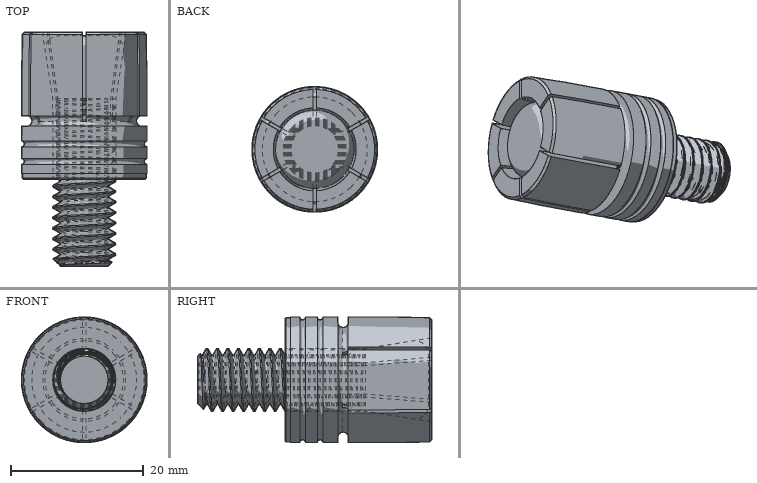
import cadquery as cq
import math


sleeve_radius = 9.525
sleeve_length = 22.25
relief = 0.1
top_chamfer = 0.35
taper_length = 5.8
base_land = 0.85
base_chamfer = 0.2
neck_radius = 0.78
neck_depth = 1.6
neck_y = 8.83
ring_radius = 0.43
ring_ys = (2.7, 5.35)
slot_count = 6
slot_width = 0.53
slot_end = 8.72

thread_radius = 4.768
thread_pitch = 1.588
thread_flat = thread_pitch / 8
thread_depth = (thread_pitch / 2 - thread_flat) / math.tan(math.radians(30))
root_radius = thread_radius - thread_depth
crest_angle = -50
flank_points = 6
stud_length = 13.2
tip_radius = 3.58
head_bottom = 12.2
head_gap = 0.53
head_angle = 9
head_round = 2.05

tip_y = -stud_length
head_top = sleeve_length - head_gap
head_height = head_top - head_bottom
head_top_radius = thread_radius + head_height * math.tan(math.radians(head_angle))


def revolve(profile):
    return profile.close().revolve(360, (0, 0, 0), (0, 1, 0))


def half_round(profile, y, radius, rim):
    """Go up across a half-round groove that opens at the radius `rim`, as two quarter arcs."""
    bend = radius * math.sqrt(0.5)
    return (
        profile.lineTo(rim, y - radius)
        .threePointArc((rim - bend, y - bend), (rim - radius, y))
        .threePointArc((rim - bend, y + bend), (rim, y + radius))
    )


def head_cone():
    return revolve(
        cq.Workplane("XY")
        .moveTo(0, head_bottom)
        .lineTo(thread_radius, head_bottom)
        .lineTo(head_top_radius, head_top)
        .lineTo(0, head_top)
    )


def thread_section():
    """Cross-section of the thread: a crest arc and a root arc, joined by two spirals."""
    flat_turn = 360 * thread_flat / thread_pitch
    flank_turn = 180 - flat_turn

    def at(radius, angle):
        turn = math.radians(angle)
        return (radius * math.cos(turn), radius * math.sin(turn))

    def flank(start_radius, end_radius, start_angle):
        steps = range(1, flank_points + 1)
        return [
            at(
                start_radius + (end_radius - start_radius) * i / flank_points,
                start_angle + flank_turn * i / flank_points,
            )
            for i in steps
        ]

    crest_start = crest_angle - flat_turn / 2
    crest_end = crest_angle + flat_turn / 2
    root_start = crest_end + flank_turn
    root_end = root_start + flat_turn
    return (
        cq.Workplane("XY")
        .moveTo(*at(thread_radius, crest_start))
        .threePointArc(at(thread_radius, crest_angle), at(thread_radius, crest_end))
        .spline(flank(thread_radius, root_radius, crest_end), includeCurrent=True)
        .threePointArc(at(root_radius, crest_angle + 180), at(root_radius, root_end))
        .spline(flank(root_radius, thread_radius, root_end), includeCurrent=True)
        .close()
    )


def threaded_rod():
    length = head_bottom - tip_y
    rod = thread_section().twistExtrude(length, 360 * length / thread_pitch)
    return rod.rotate((0, 0, 0), (1, 0, 0), -90).translate((0, tip_y, 0))


def tip_envelope():
    """Chamfered blank, wider than the thread, that bevels the thread at the tip."""
    blank_radius = thread_radius + 0.35
    return revolve(
        cq.Workplane("XY")
        .moveTo(0, tip_y)
        .lineTo(tip_radius, tip_y)
        .lineTo(blank_radius, tip_y + blank_radius - tip_radius)
        .lineTo(blank_radius, head_bottom)
        .lineTo(0, head_bottom)
    )


def make_screw():
    head = head_cone().faces(">Y").edges().fillet(head_round)
    return threaded_rod().intersect(tip_envelope()).union(head)


def sleeve_blank():
    end_radius = sleeve_radius - relief
    profile = (
        cq.Workplane("XY")
        .moveTo(0, 0)
        .lineTo(end_radius - base_chamfer, 0)
        .lineTo(end_radius, base_chamfer)
        .lineTo(end_radius, base_land)
        .lineTo(sleeve_radius, base_land)
    )
    for y in ring_ys:
        profile = half_round(profile, y, ring_radius, sleeve_radius)
    profile = profile.lineTo(sleeve_radius, neck_y - neck_radius)
    profile = half_round(profile, neck_y, neck_radius, sleeve_radius - neck_depth + neck_radius)
    return revolve(
        profile.lineTo(sleeve_radius, neck_y + neck_radius)
        .lineTo(sleeve_radius, sleeve_length - taper_length)
        .lineTo(end_radius, sleeve_length - top_chamfer)
        .lineTo(end_radius - top_chamfer, sleeve_length)
        .lineTo(0, sleeve_length)
    )


def sleeve_bore():
    return revolve(
        cq.Workplane("XY")
        .lineTo(thread_radius, 0)
        .lineTo(thread_radius, head_bottom)
        .lineTo(head_top_radius, head_top)
        .lineTo(head_top_radius, sleeve_length)
        .lineTo(0, sleeve_length)
    )


def make_sleeve():
    sleeve = sleeve_blank().cut(sleeve_bore())
    slot_length = sleeve_length - slot_end
    for i in range(slot_count):
        slot = (
            cq.Workplane("XY")
            .box(slot_width, slot_length, sleeve_radius, centered=(True, False, False))
            .translate((0, slot_end, 0))
            .rotate((0, 0, 0), (0, 1, 0), i * 360 / slot_count)
        )
        sleeve = sleeve.cut(slot)
    return sleeve


screw = make_screw()
sleeve = make_sleeve()

result = cq.Compound.makeCompound([sleeve.val(), screw.val()])